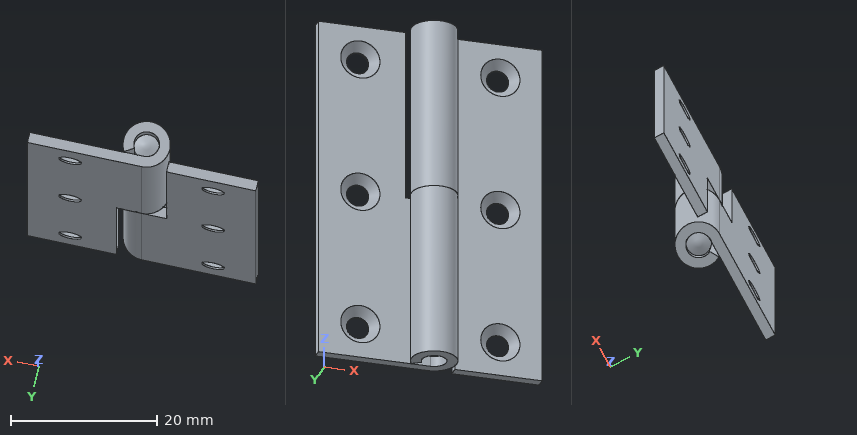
import cadquery as cq
import math

height = 50.0
width = 32.0
thickness = 1.5
knuckle_radius = 3.25
bore_radius = knuckle_radius - thickness
curl_end_angle = 31.0
leaf_gap = 0.25
leaf_edge = knuckle_radius + leaf_gap

hole_diameter = 3.1
sink_diameter = 5.6
sink_angle = 90.0
hole_offset = 10.0
hole_pitch = 20.0

pin_recess = 1.5
cone_height = 0.5


def polar(radius, angle):
    return (radius * math.cos(angle), radius * math.sin(angle))


def make_knuckle():
    """Upper rolled strip; its radial end face stops just short of the leaf."""
    start = math.pi / 2
    end = 2 * math.pi + math.radians(curl_end_angle)
    middle = (start + end) / 2
    return (
        cq.Workplane("XY")
        .moveTo(*polar(bore_radius, start))
        .lineTo(*polar(knuckle_radius, start))
        .threePointArc(polar(knuckle_radius, middle), polar(knuckle_radius, end))
        .lineTo(*polar(bore_radius, end))
        .threePointArc(polar(bore_radius, middle), polar(bore_radius, start))
        .close()
        .extrude(height / 2)
    )


def make_plate():
    """Flat plate, reaching the pin axis beside its own knuckle only."""
    return (
        cq.Workplane("XZ", origin=(0, knuckle_radius, 0))
        .moveTo(0, 0)
        .lineTo(0, height / 2)
        .lineTo(width / 2, height / 2)
        .lineTo(width / 2, -height / 2)
        .lineTo(leaf_edge, -height / 2)
        .lineTo(leaf_edge, 0)
        .close()
        .extrude(thickness)
    )


def make_leaf():
    """Right-hand leaf with the upper knuckle, countersunk on its -Y face."""
    hole_points = [(hole_offset, row * hole_pitch) for row in (-1, 0, 1)]
    leaf = make_plate().union(make_knuckle())
    return (
        leaf.copyWorkplane(cq.Workplane("XZ", origin=(0, bore_radius, 0)))
        .pushPoints(hole_points)
        .cskHole(hole_diameter, sink_diameter, sink_angle)
    )


def make_pin():
    """Pin filling both knuckle bores, with the same cone at each end."""
    rim = height / 2 - pin_recess
    tip = rim + cone_height
    return (
        cq.Workplane("XZ")
        .moveTo(0, -tip)
        .lineTo(bore_radius, -rim)
        .lineTo(bore_radius, rim)
        .lineTo(0, tip)
        .close()
        .revolve(360, (0, 0, 0), (0, 1, 0))
    )


leaves = []
for turn in (0, 180):
    leaves.append(make_leaf().rotate((0, 0, 0), (0, 1, 0), turn).val())

pin = make_pin()

result = cq.Compound.makeCompound([*leaves, pin.val()])